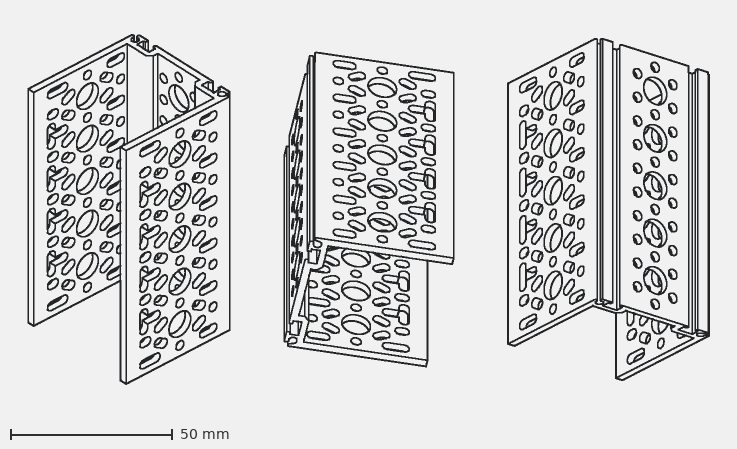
import cadquery as cq
import math

WIDTH = 45.0
DEPTH = 45.0
HEIGHT = 88.0

WALL = 2.6
PLATE = 2.5
LIP = 1.2
HALF_WIDTH = WIDTH / 2
BACK_Y = DEPTH / 2
LEG_TIP_Y = -DEPTH / 2
LIP_OUTER = 1.6
LIP_BULGE = 0.15
LIP_END = 1.05
LIP_INNER = 5.8
SLOT_OUTER = 4.9
SLOT_INNER = 10.4
SLOT_DEPTH = 3.9
SLOT_FLOOR_Y = BACK_Y - SLOT_DEPTH
BEAD_RADIUS = LIP / 2
BEAD_TIP = 9.1
STEP = SLOT_INNER + PLATE
FLANGE_FACE = 5.95
STEP_CHAMFER = 1.6
CHAMFER_BLEND_RADIUS = 0.5
GROOVE_RADIUS = 1.25
GROOVE_INSET = WALL
GROOVE_MOUTH_ANGLE = 72.0
EDGE_TIP_DEPTH = 1.35
EDGE_TIP_RADIUS = 0.55

PITCH = 16.0
END_MARGIN = 4.0
SMALL_DIAMETER = 3.2
LARGE_DIAMETER = 9.0
LARGE_COUNT = 5
RING_RADIUS = PITCH / 2
RING_ANGLE = 30.0
RING_OFFSET = RING_RADIUS * math.cos(math.radians(RING_ANGLE))
RING_RISE = RING_RADIUS * math.sin(math.radians(RING_ANGLE))
OUTER_ROW = 2 * RING_OFFSET
SLOT_ROW = 9.9
FRONT_ROW = 15.1
DIAGONAL_TRAVEL = 2.4
CROSSBAR_TRAVEL = 6.1

SMALL_LEVELS = [END_MARGIN + PITCH * i - HEIGHT / 2 for i in range(LARGE_COUNT + 1)]
LARGE_LEVELS = [z + PITCH / 2 for z in SMALL_LEVELS[:-1]]


def half_section():
    """Section of the half at +X, from the mid-plane to the outer side."""

    def x(inset):
        return HALF_WIDTH - inset

    lip_y = BACK_Y - LIP
    lip_corner_x = x(LIP_OUTER + LIP_BULGE)
    flange_y = BACK_Y - FLANGE_FACE
    tip_y = BACK_Y - EDGE_TIP_DEPTH
    tip_center_y = tip_y - EDGE_TIP_RADIUS

    def groove_point(angle):
        turn = math.radians(angle)
        center_y = BACK_Y - GROOVE_INSET
        return (x(GROOVE_INSET) + GROOVE_RADIUS * math.cos(turn), center_y + GROOVE_RADIUS * math.sin(turn))

    return (
        cq.Workplane("XY", origin=(0, 0, -HEIGHT / 2))
        .moveTo(0, BACK_Y)
        .lineTo(x(BEAD_TIP + BEAD_RADIUS), BACK_Y)
        .threePointArc((x(BEAD_TIP), BACK_Y - BEAD_RADIUS), (x(BEAD_TIP + BEAD_RADIUS), lip_y))
        .lineTo(x(SLOT_INNER), lip_y)
        .lineTo(x(SLOT_INNER), SLOT_FLOOR_Y)
        .lineTo(x(SLOT_OUTER), SLOT_FLOOR_Y)
        .lineTo(x(SLOT_OUTER), lip_y)
        .lineTo(x(LIP_INNER), lip_y)
        .lineTo(x(LIP_INNER), BACK_Y)
        .lineTo(lip_corner_x, BACK_Y)
        .threePointArc((x(LIP_OUTER), BACK_Y - LIP_END / 2), (lip_corner_x, BACK_Y - LIP_END))
        .lineTo(*groove_point(GROOVE_MOUTH_ANGLE))
        .threePointArc(groove_point(225), groove_point(360))
        .lineTo(x(2 * EDGE_TIP_RADIUS), tip_center_y)
        .threePointArc((x(EDGE_TIP_RADIUS), tip_y), (HALF_WIDTH, tip_center_y))
        .lineTo(HALF_WIDTH, LEG_TIP_Y)
        .lineTo(x(WALL), LEG_TIP_Y)
        .lineTo(x(WALL), flange_y)
        .lineTo(x(STEP - STEP_CHAMFER), flange_y)
        .lineTo(x(STEP), flange_y + STEP_CHAMFER)
        .lineTo(x(STEP), BACK_Y - PLATE)
        .lineTo(0, BACK_Y - PLATE)
        .close()
    )


def make_channel():
    half = half_section().extrude(HEIGHT)
    corner = (HALF_WIDTH - STEP + STEP_CHAMFER, BACK_Y - FLANGE_FACE, 0)
    half = half.edges(cq.selectors.NearestToPointSelector(corner)).fillet(CHAMFER_BLEND_RADIUS)
    return half.union(half.mirror("YZ"))


def drill(plane, points, diameter, length):
    """Round cutters through both sides of the plane."""
    return cq.Workplane(plane).pushPoints(points).circle(diameter / 2).extrude(length, both=True)


def leg_slot(start, end):
    """Rounded slot cutter through both legs, between two end centers given as (y, z)."""
    travel = math.dist(start, end)
    angle = math.degrees(math.atan2(end[1] - start[1], end[0] - start[0]))
    center = ((start[0] + end[0]) / 2, (start[1] + end[1]) / 2)
    return (
        cq.Workplane("YZ")
        .center(*center)
        .slot2D(travel + SMALL_DIAMETER, SMALL_DIAMETER, angle)
        .extrude(WIDTH, both=True)
    )


def ring_points(level):
    return [(side * RING_OFFSET, level + rise * RING_RISE) for side in (-1, 1) for rise in (-1, 1)]


def cut_back_holes(body):
    ring = [point for z in LARGE_LEVELS for point in ring_points(z)]
    small = [(0, z) for z in SMALL_LEVELS]
    large = [(0, z) for z in LARGE_LEVELS]
    body = body.cut(drill("XZ", ring + small, SMALL_DIAMETER, DEPTH))
    return body.cut(drill("XZ", large, LARGE_DIAMETER, DEPTH))


def cut_leg_round_holes(body):
    small = [(0, z) for z in SMALL_LEVELS]
    small += [(OUTER_ROW, z) for z in LARGE_LEVELS]
    large = [(0, z) for z in LARGE_LEVELS]
    body = body.cut(drill("YZ", small, SMALL_DIAMETER, WIDTH))
    return body.cut(drill("YZ", large, LARGE_DIAMETER, WIDTH))


def cut_leg_straight_slots(body):
    for z in SMALL_LEVELS:
        body = body.cut(leg_slot((SLOT_ROW, z), (OUTER_ROW, z)))
        body = body.cut(leg_slot((-SLOT_ROW, z), (-FRONT_ROW, z)))
    for z in LARGE_LEVELS:
        body = body.cut(leg_slot((-OUTER_ROW, z), (-FRONT_ROW, z)))
    for z in SMALL_LEVELS[1:-1]:
        bottom = (-FRONT_ROW, z - CROSSBAR_TRAVEL / 2)
        top = (-FRONT_ROW, z + CROSSBAR_TRAVEL / 2)
        body = body.cut(leg_slot(bottom, top))
    return body


def cut_leg_diagonal_slots(body):
    run = DIAGONAL_TRAVEL * math.cos(math.radians(RING_ANGLE))
    fall = DIAGONAL_TRAVEL * math.sin(math.radians(RING_ANGLE))
    for level in LARGE_LEVELS:
        for y, z in ring_points(level):
            outer_y = y + math.copysign(run, y)
            outer_z = z - math.copysign(fall, z - level)
            body = body.cut(leg_slot((y, z), (outer_y, outer_z)))
    return body


result = make_channel()
result = cut_back_holes(result)
result = cut_leg_round_holes(result)
result = cut_leg_straight_slots(result)
result = cut_leg_diagonal_slots(result)